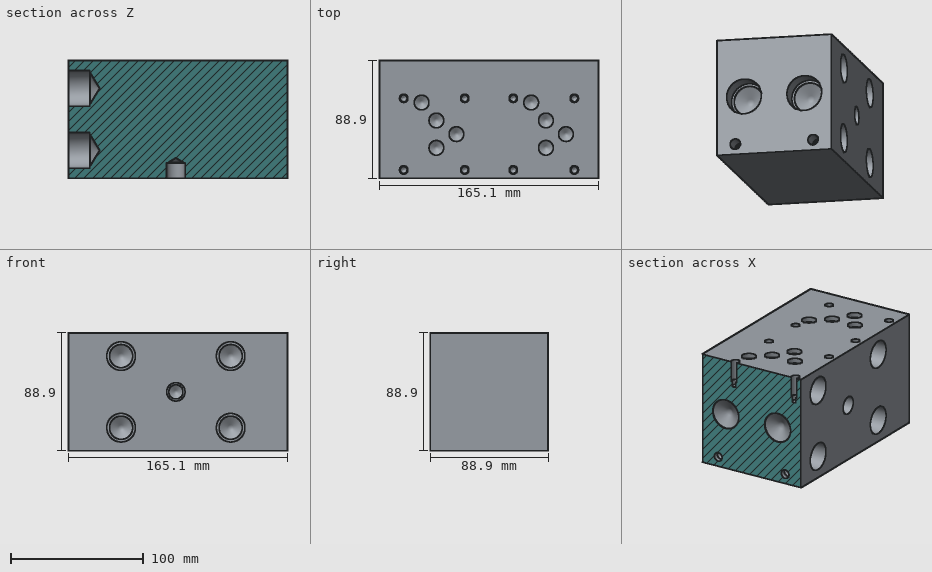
import cadquery as cq
import math

LENGTH = 165.1
WIDTH = 88.9
HEIGHT = 88.9

DRILL_POINT_ANGLE = 118.0
PORT_DRILL_EXTRA = 0.62

STATION_PITCH = 82.55
STATION_XS = (-STATION_PITCH / 2, STATION_PITCH / 2)
STATION_Y = -11.11
BOLT_SPAN_X = 46.0
BOLT_SPAN_Y = 54.0
BOLT_THREAD_DIAMETER = 6.35
BOLT_THREAD_DEPTH = 16.0
BOLT_DRILL_DIAMETER = 5.11
BOLT_DRILL_DEPTH = 20.0
VALVE_PORT_DIAMETER = 11.11
VALVE_PORT_DEPTH = 3.81
TANK_OFFSET = (-9.5, 23.8)
CROSS_PORT_X = 1.6
CROSS_PORT_Y = 10.3
PRESSURE_OFFSET = (16.7, 0.0)
VALVE_PORT_OFFSETS = (
    TANK_OFFSET,
    (CROSS_PORT_X, CROSS_PORT_Y),
    PRESSURE_OFFSET,
    (CROSS_PORT_X, -CROSS_PORT_Y),
)

WORK_PORT_SHIFT_X = -1.6
WORK_PORT_Z = 26.99
WORK_THREAD_DIAMETER = 21.59
WORK_THREAD_DEPTH = 16.5
WORK_DRILL_DIAMETER = 17.48
WORK_DRILL_DEPTH = WORK_THREAD_DEPTH + PORT_DRILL_EXTRA

GAUGE_THREAD_DIAMETER = 13.87
GAUGE_THREAD_DEPTH = 11.5
GAUGE_DRILL_DIAMETER = 10.72
GAUGE_DRILL_DEPTH = GAUGE_THREAD_DEPTH + PORT_DRILL_EXTRA

MAIN_PORT_Y = 23.37
MAIN_THREAD_DIAMETER = 26.92
MAIN_THREAD_DEPTH = 15.88
MAIN_DRILL_DIAMETER = 23.01
MAIN_DRILL_DEPTH = MAIN_THREAD_DEPTH + PORT_DRILL_EXTRA

MOUNT_Y = 30.16
MOUNT_EDGE_DISTANCE = 7.94
MOUNT_THREAD_DIAMETER = 7.92
MOUNT_THREAD_DEPTH = 16.0
MOUNT_DRILL_DIAMETER = 6.53
MOUNT_DRILL_DEPTH = 20.0

DOWN = cq.Vector(0, 0, -1)
INTO_FRONT = cq.Vector(0, 1, 0)
INTO_LEFT = cq.Vector(1, 0, 0)


def drilled_hole(mouth, direction, diameter, depth):
    """Blind hole with a conical bottom; depth is measured to the full-diameter end."""
    radius = diameter / 2
    point_length = radius / math.tan(math.radians(DRILL_POINT_ANGLE / 2))
    bore = cq.Solid.makeCylinder(radius, depth, mouth, direction)
    point = cq.Solid.makeCone(radius, 0, point_length, mouth + direction * depth, direction)
    return bore.fuse(point)


def threaded_hole(mouth, direction, thread_diameter, thread_depth, drill_diameter, drill_depth):
    """Flat-bottomed thread bore with a deeper, narrower drilled hole on the same axis."""
    thread = cq.Solid.makeCylinder(thread_diameter / 2, thread_depth, mouth, direction)
    return thread.fuse(drilled_hole(mouth, direction, drill_diameter, drill_depth))


def station_holes(station_x):
    """Four valve ports and four bolt holes of one station."""
    top = HEIGHT / 2
    holes = []
    for offset_x, offset_y in VALVE_PORT_OFFSETS:
        mouth = cq.Vector(station_x + offset_x, STATION_Y + offset_y, top)
        holes.append(drilled_hole(mouth, DOWN, VALVE_PORT_DIAMETER, VALVE_PORT_DEPTH))
    for side_x in (-1, 1):
        for side_y in (-1, 1):
            mouth = cq.Vector(
                station_x + side_x * BOLT_SPAN_X / 2,
                STATION_Y + side_y * BOLT_SPAN_Y / 2,
                top,
            )
            holes.append(
                threaded_hole(
                    mouth,
                    DOWN,
                    BOLT_THREAD_DIAMETER,
                    BOLT_THREAD_DEPTH,
                    BOLT_DRILL_DIAMETER,
                    BOLT_DRILL_DEPTH,
                )
            )
    return holes


def work_ports(station_x):
    """The A and B ports of one station."""
    holes = []
    for z in (-WORK_PORT_Z, WORK_PORT_Z):
        mouth = cq.Vector(station_x + WORK_PORT_SHIFT_X, -WIDTH / 2, z)
        holes.append(
            threaded_hole(
                mouth,
                INTO_FRONT,
                WORK_THREAD_DIAMETER,
                WORK_THREAD_DEPTH,
                WORK_DRILL_DIAMETER,
                WORK_DRILL_DEPTH,
            )
        )
    return holes


def gauge_port():
    return threaded_hole(
        cq.Vector(WORK_PORT_SHIFT_X, -WIDTH / 2, 0),
        INTO_FRONT,
        GAUGE_THREAD_DIAMETER,
        GAUGE_THREAD_DEPTH,
        GAUGE_DRILL_DIAMETER,
        GAUGE_DRILL_DEPTH,
    )


def left_face_holes(side_y):
    """One main port and one mounting hole, on the given side of the XZ plane."""
    left = -LENGTH / 2
    main_port = threaded_hole(
        cq.Vector(left, side_y * MAIN_PORT_Y, 0),
        INTO_LEFT,
        MAIN_THREAD_DIAMETER,
        MAIN_THREAD_DEPTH,
        MAIN_DRILL_DIAMETER,
        MAIN_DRILL_DEPTH,
    )
    mounting_hole = threaded_hole(
        cq.Vector(left, side_y * MOUNT_Y, MOUNT_EDGE_DISTANCE - HEIGHT / 2),
        INTO_LEFT,
        MOUNT_THREAD_DIAMETER,
        MOUNT_THREAD_DEPTH,
        MOUNT_DRILL_DIAMETER,
        MOUNT_DRILL_DEPTH,
    )
    return [main_port, mounting_hole]


cutters = [gauge_port()]
for station in STATION_XS:
    cutters += station_holes(station)
    cutters += work_ports(station)
for side in (-1, 1):
    cutters += left_face_holes(side)

block = cq.Workplane("XY").box(LENGTH, WIDTH, HEIGHT)
result = cq.Workplane("XY").newObject([block.val().cut(*cutters)])